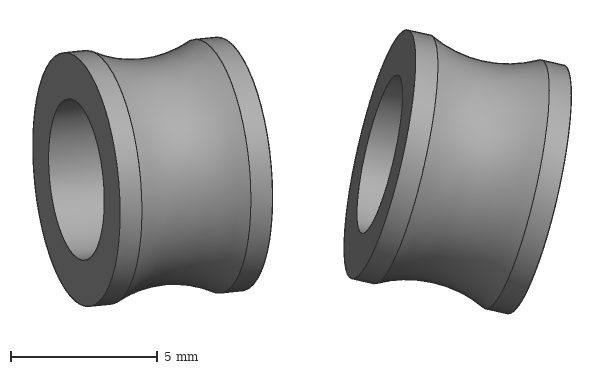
import cadquery as cq
import math

INCH = 25.4
outer_radius = 11 / 64 * INCH
bore_radius = 7 / 64 * INCH
length = 7 / 32 * INCH
groove_width = 5 / 32 * INCH
groove_arc_radius = 11 / 64 * INCH

half_length = length / 2
half_groove = groove_width / 2
groove_depth = groove_arc_radius - math.sqrt(groove_arc_radius**2 - half_groove**2)
waist_radius = outer_radius - groove_depth


def wall_profile():
    """Half section of the wall: X is the radius, Y runs along the axis."""
    return (
        cq.Workplane("XY")
        .moveTo(bore_radius, -half_length)
        .lineTo(outer_radius, -half_length)
        .lineTo(outer_radius, -half_groove)
        .threePointArc((waist_radius, 0), (outer_radius, half_groove))
        .lineTo(outer_radius, half_length)
        .lineTo(bore_radius, half_length)
        .close()
    )


result = wall_profile().revolve(360, (0, 0, 0), (0, 1, 0))